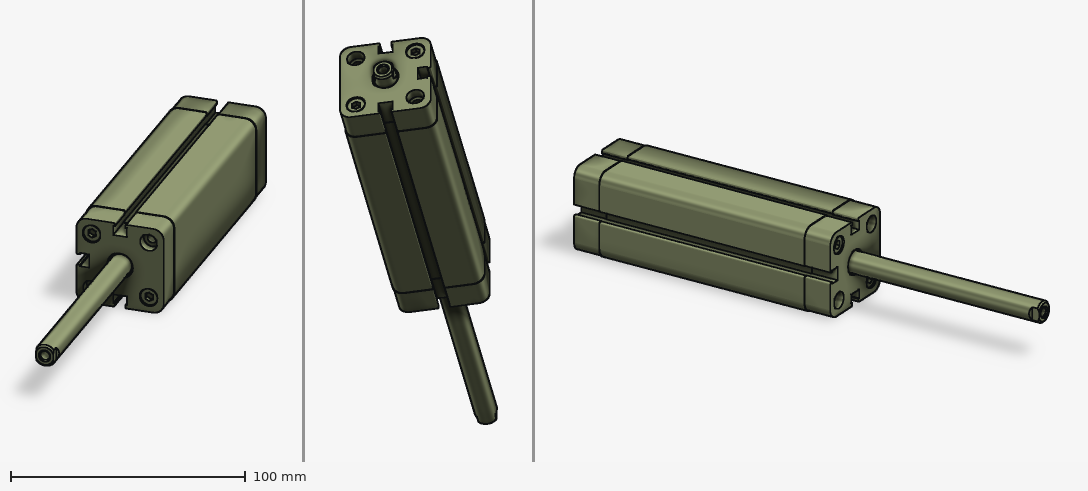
import cadquery as cq

total_length = 230.5
width = 40.0
body_length = 129.5
cap_length = 13.0
rear_rod_reach = 5.5
front_rod_reach = total_length - body_length - rear_rod_reach
corner_radius = 5.0

cap_setback = 0.3

slot_mouth_width = 4.8
slot_inner_width = 6.2
slot_depth = 5.8
slot_lip = 1.5
slot_mouth_radius = 0.7
slot_angles = (0, 90, 180)

hole_offset = 13.0
open_bore_diameter = 7.5
screw_bore_diameter = 8.0
counterbore_depth = 4.5
through_diameter = 4.1
screw_head_diameter = 7.5
screw_recess = 0.7
socket_across_corners = 4.1
socket_depth = 2.3

rod_diameter = 10.0
rod_chamfer = 0.8
flat_spacing = 7.8
flat_length = 3.5
bearing_bore_diameter = 11.5
bearing_bore_depth = 1.2
thread_mouth_diameter = 5.3
thread_diameter = 4.1
thread_depth = 13.8
drill_tip_depth = thread_diameter / 2

body_front = 0.0
body_rear = body_length
rod_front = body_front - front_rod_reach
rod_rear = body_rear + rear_rod_reach
open_corners = ((hole_offset, hole_offset), (-hole_offset, -hole_offset))
screw_corners = ((-hole_offset, hole_offset), (hole_offset, -hole_offset))


def section_at(y):
    """XZ work plane at y, extruding toward +Y, with local X = X and local Y = -Z."""
    return cq.Workplane(cq.Plane(origin=(0, y, 0), xDir=(1, 0, 0), normal=(0, 1, 0)))


def cylinder(x, z, diameter, y_start, length):
    return section_at(y_start).center(x, -z).circle(diameter / 2).extrude(length)


def make_slot(face, y_start, length, angle):
    """Slot with rounded mouth edges, drawn in the -X face and turned about the rod axis."""
    half_mouth = slot_mouth_width / 2
    half_inner = slot_inner_width / 2
    round_end = face + slot_mouth_radius
    half_flare = half_mouth + slot_mouth_radius
    slot = (
        section_at(y_start)
        .moveTo(face, -half_flare)
        .radiusArc((round_end, -half_mouth), slot_mouth_radius)
        .lineTo(face + slot_lip, -half_mouth)
        .lineTo(face + slot_lip, -half_inner)
        .lineTo(face + slot_depth, -half_inner)
        .lineTo(face + slot_depth, half_inner)
        .lineTo(face + slot_lip, half_inner)
        .lineTo(face + slot_lip, half_mouth)
        .lineTo(round_end, half_mouth)
        .radiusArc((face, half_flare), slot_mouth_radius)
        .close()
        .extrude(length)
    )
    return slot.rotate((0, 0, 0), (0, 1, 0), angle - 90)


def slotted_bar(setback, y_start, length):
    """Rounded square bar with its slots, its outer faces set back from the full width."""
    side = width - 2 * setback
    bar = section_at(y_start).rect(side, side).extrude(length)
    bar = bar.edges("|Y").fillet(corner_radius - setback)
    for angle in slot_angles:
        bar = bar.cut(make_slot(-side / 2, y_start, length, angle))
    return bar


def make_body():
    """Slotted profile with a cap on each end."""
    body = slotted_bar(0, body_front + cap_length, body_length - 2 * cap_length)
    for cap_start in (body_front, body_rear - cap_length):
        body = body.union(slotted_bar(cap_setback, cap_start, cap_length))
    return body


def make_corner_counterbores():
    """Counterbores at the front end, for all four corners."""
    bores = cq.Workplane("XY")
    for x, z in open_corners:
        bores = bores.add(cylinder(x, z, open_bore_diameter, body_front, counterbore_depth))
    for x, z in screw_corners:
        bores = bores.add(cylinder(x, z, screw_bore_diameter, body_front, counterbore_depth))
    return bores.combine()


def make_screw_head(x, z):
    """Socket screw head filling a front counterbore to just below the face."""
    top = body_front + screw_recess
    head = cylinder(x, z, screw_head_diameter, top, counterbore_depth - screw_recess)
    socket = section_at(top).center(x, -z).polygon(6, socket_across_corners).extrude(socket_depth)
    socket = socket.rotate((x, 0, z), (x, 1, z), 90)
    return head.cut(socket)


def make_rod_end_cut():
    """Two flats across X with 45 degree run-outs, and a threaded hole, at the front rod tip."""
    flat_x = flat_spacing / 2
    rod_radius = rod_diameter / 2
    flat_end = rod_front + flat_length
    outer_x = rod_diameter
    runout_end = flat_end + outer_x - flat_x
    flat = (
        cq.Workplane("XY")
        .polyline([(flat_x, rod_front), (flat_x, flat_end), (outer_x, runout_end), (outer_x, rod_front)])
        .close()
        .extrude(rod_radius, both=True)
    )
    thread_end = rod_front + thread_depth
    chamfer_depth = (thread_mouth_diameter - thread_diameter) / 2
    hole = (
        cq.Workplane("XY")
        .moveTo(0, rod_front)
        .lineTo(thread_mouth_diameter / 2, rod_front)
        .lineTo(thread_diameter / 2, rod_front + chamfer_depth)
        .lineTo(thread_diameter / 2, thread_end)
        .lineTo(0, thread_end + drill_tip_depth)
        .close()
        .revolve(360, (0, 0, 0), (0, 1, 0))
    )
    return hole.union(flat).union(flat.mirror("YZ"))


def to_other_end(shape, front, rear):
    """Mirror a front-end shape so that the front position lands on the rear one."""
    return shape.mirror("XZ").translate((0, front + rear, 0))


body = make_body()
for x, z in open_corners:
    body = body.cut(cylinder(x, z, through_diameter, body_front, body_length))

bearing_bore = cylinder(0, 0, bearing_bore_diameter, body_front, bearing_bore_depth)
for recess in (make_corner_counterbores(), bearing_bore):
    body = body.cut(recess).cut(to_other_end(recess, body_front, body_rear))

for x, z in screw_corners:
    head = make_screw_head(x, z)
    body = body.union(head).union(to_other_end(head, body_front, body_rear))

rod = cylinder(0, 0, rod_diameter, rod_front, total_length).faces("<Y or >Y").chamfer(rod_chamfer)
rod_end_cut = make_rod_end_cut()
rod = rod.cut(rod_end_cut).cut(to_other_end(rod_end_cut, rod_front, rod_rear))

result = body.union(rod)